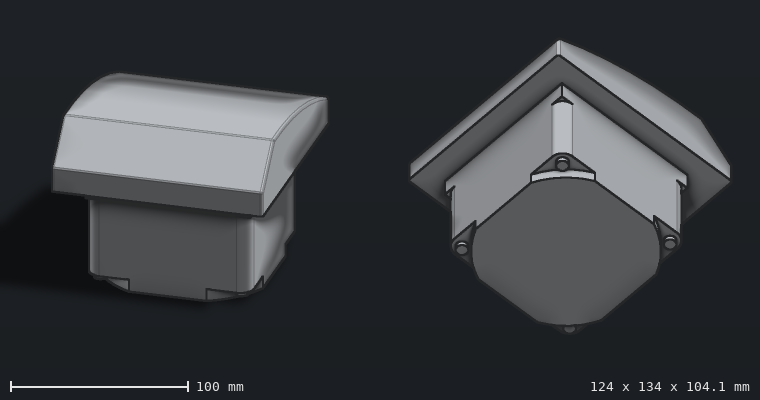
import cadquery as cq

cap_width = 124.0
cap_depth = 134.0
cap_height = 37.5
front_wall_height = 14.6
back_wall_height = 16.1
slope_depth = 23.3
dome_mid_y = 13.4
dome_mid_height = 32.8
cap_edge_radius = 1.6
back_edge_radius = 4.0

body_side = 96.5
body_height = 66.5
body_center_y = 3.2
body_corner_radius = 8.0
square_collar_height = 11.9

base_height = 7.4
base_radius = 53.3
pin_radius = 3.6
pin_length = 3.4
pin_inset = 6.8


def make_cap():
    front_y = -cap_depth / 2
    back_y = cap_depth / 2
    underside = body_height
    cap = (
        cq.Workplane("YZ", origin=(-cap_width / 2, 0, 0))
        .moveTo(front_y, underside)
        .lineTo(front_y, underside + front_wall_height)
        .lineTo(front_y + slope_depth, underside + cap_height)
        .threePointArc(
            (dome_mid_y, underside + dome_mid_height),
            (back_y, underside + back_wall_height),
        )
        .lineTo(back_y, underside)
        .close()
        .extrude(cap_width)
    )
    back_edge = cq.selectors.NearestToPointSelector((0, back_y, underside + back_wall_height))
    cap = cap.edges(back_edge).fillet(back_edge_radius)
    return cap.edges("not(<Z)").fillet(cap_edge_radius)


def body_block(bottom, height):
    return (
        cq.Workplane("XY", origin=(0, body_center_y, bottom))
        .rect(body_side, body_side)
        .extrude(height)
    )


def make_body():
    collar_bottom = body_height - square_collar_height
    collar = body_block(collar_bottom, square_collar_height)
    shaft = body_block(base_height, collar_bottom - base_height)
    return collar.union(shaft.edges("|Z").fillet(body_corner_radius))


def make_base():
    disk = (
        cq.Workplane("XY", origin=(0, body_center_y, 0))
        .circle(base_radius)
        .extrude(base_height)
    )
    return disk.intersect(body_block(0, base_height))


def make_pins():
    pin_spacing = body_side - 2 * pin_inset
    return (
        cq.Workplane("XY", origin=(0, body_center_y, base_height - pin_length))
        .rect(pin_spacing, pin_spacing, forConstruction=True)
        .vertices()
        .circle(pin_radius)
        .extrude(pin_length)
    )


result = make_cap().union(make_body()).union(make_base()).union(make_pins())